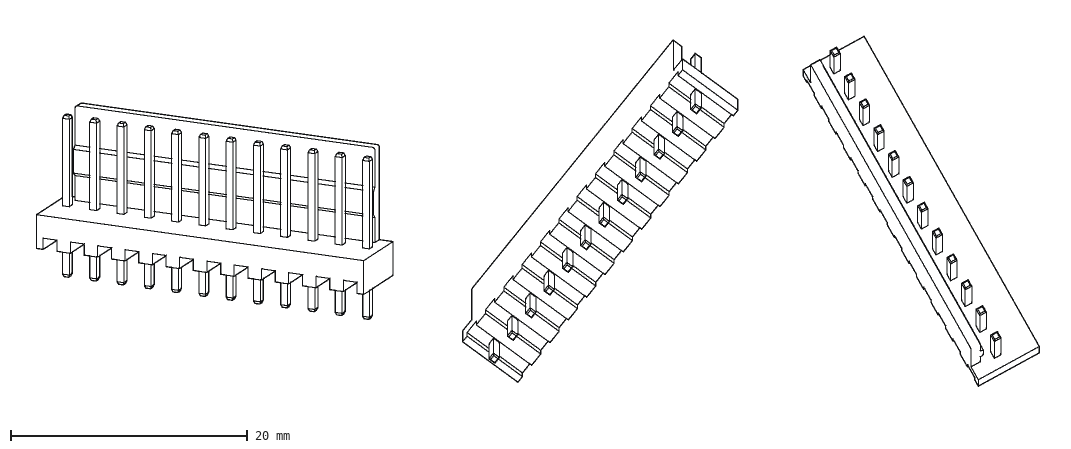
import cadquery as cq

PIN_COUNT = 12
PITCH = 2.54
PIN_SIZE = 0.64
PIN_ABOVE_BASE = 8.0
PIN_BELOW_BASE = 3.3
TIP_HEIGHT = 0.25
TIP_INSET = 0.1
PIN_FROM_BACK = 2.4

BASE_LENGTH = PIN_COUNT * PITCH
BASE_DEPTH = 5.9
BASE_HEIGHT = 3.0
BACK_Y = BASE_DEPTH / 2
SLOT_WIDTH = 1.27
SLOT_DEPTH = 1.0

ROW_LENGTH = (PIN_COUNT - 1) * PITCH
WALL_HEIGHT = 8.4
WALL_THICKNESS = 0.9
WALL_CORNER = 0.25
RIDGE_HEIGHT = 0.3
RIDGE_BOTTOM = 2.2
RIDGE_TOP = 4.9

PIN_Y = BACK_Y - PIN_FROM_BACK
PIN_POSITIONS = [(-ROW_LENGTH / 2 + i * PITCH, PIN_Y) for i in range(PIN_COUNT)]


def make_base():
    """Block with a slot across its underside at every pin."""
    base = cq.Workplane("XY").box(BASE_LENGTH, BASE_DEPTH, BASE_HEIGHT, centered=(True, True, False))
    for x, _ in PIN_POSITIONS:
        slot = cq.Workplane("XY").box(SLOT_WIDTH, BASE_DEPTH, SLOT_DEPTH, centered=(True, True, False))
        base = base.cut(slot.translate((x, 0, 0)))
    return base


def make_wall():
    """Upright wall with a trapezoidal locking ridge facing the pins."""
    front_y = BACK_Y - WALL_THICKNESS
    ridge_y = front_y - RIDGE_HEIGHT
    profile = [
        (BACK_Y, 0),
        (BACK_Y, WALL_HEIGHT),
        (front_y, WALL_HEIGHT),
        (front_y, RIDGE_TOP),
        (ridge_y, RIDGE_TOP - RIDGE_HEIGHT),
        (ridge_y, RIDGE_BOTTOM + RIDGE_HEIGHT),
        (front_y, RIDGE_BOTTOM),
        (front_y, 0),
    ]
    wall = cq.Workplane("YZ").polyline(profile).close().extrude(ROW_LENGTH / 2, both=True)
    wall = wall.faces(">Z").edges("|Y").fillet(WALL_CORNER)
    return wall.translate((0, 0, BASE_HEIGHT))


def make_tip():
    """Blunt pyramid rising from Z = 0, as wide as the pin at its foot."""
    blunt_size = PIN_SIZE - 2 * TIP_INSET
    foot = cq.Workplane("XY").rect(PIN_SIZE, PIN_SIZE)
    return foot.workplane(offset=TIP_HEIGHT).rect(blunt_size, blunt_size).loft(combine=True)


def make_pin():
    """Square pin with a blunt pyramid tip at each end."""
    shank_bottom = TIP_HEIGHT - PIN_BELOW_BASE
    shank_top = BASE_HEIGHT + PIN_ABOVE_BASE - TIP_HEIGHT
    shank_length = shank_top - shank_bottom
    shank = cq.Workplane("XY").box(PIN_SIZE, PIN_SIZE, shank_length, centered=(True, True, False))
    shank = shank.translate((0, 0, shank_bottom))
    top_tip = make_tip().translate((0, 0, shank_top))
    bottom_tip = make_tip().mirror("XY").translate((0, 0, shank_bottom))
    return shank.union(top_tip).union(bottom_tip)


pin = make_pin()
result = make_base().union(make_wall())
for x, y in PIN_POSITIONS:
    result = result.union(pin.translate((x, y, 0)))